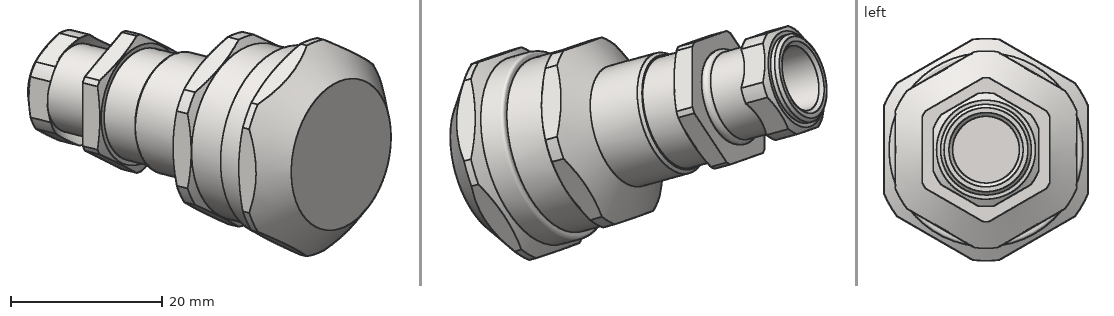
import cadquery as cq
import math

LENGTH = 49.55

SPIGOT_DIAMETER = 12.0
SPIGOT_CHAMFER = 0.45
BORE_DIAMETER = 8.8
BORE_CHAMFER = 0.5

LOCKNUT_START = 1.1
LOCKNUT_END = 5.15
LOCKNUT_FACE_DIAMETER = 13.1
LOCKNUT_FLATS = 13.9
LOCKNUT_CORNERS = 15.0

SEAL_CENTRE = 11.45
SEAL_SECTION_RADIUS = 0.8
SEAL_DIAMETER = 13.0

BODY_HEX_START = 11.95
BODY_HEX_END = 14.95
BODY_HEX_FLATS = 16.85
BODY_HEX_CORNERS = 18.95
BODY_HEX_CHAMFER = 0.45
BODY_HEX_FACE_DIAMETER = 16.45
NECK_DIAMETER = 15.2

SLEEVE_START = 20.45
SLEEVE_DIAMETER = 16.5
SLEEVE_CHAMFER = 0.45

MIDDLE_HEX_START = 28.45
MIDDLE_HEX_END = 33.75
MIDDLE_HEX_FLATS = 23.9
MIDDLE_HEX_CORNERS = 26.05

BARREL_DIAMETER = 23.8
COLLAR_START = 39.3
COLLAR_DIAMETER = 25.6
COLLAR_ROUND = 0.4

CAP_START = 42.85
CAP_FLATS = 27.0
CAP_CORNERS = 29.35
CAP_END_DIAMETER = 20.4

STEEP_SLOPE = math.tan(math.radians(60))


def cylinder(start, end, diameter):
    return cq.Workplane("YZ", origin=(start, 0, 0)).circle(diameter / 2).extrude(end - start)


def revolve_profile(points):
    """Revolve (x, radius) points around the X axis."""
    return cq.Workplane("XY").polyline(points).close().revolve(360, (0, 0, 0), (1, 0, 0))


def steep_run(inner_diameter, outer_diameter):
    """Length along X of a steep cone between two diameters."""
    return (outer_diameter - inner_diameter) / 2 / STEEP_SLOPE


def hex_nut(across_flats, envelope):
    """Cut a turned envelope, given as (x, radius) points, to a hexagon."""
    start = envelope[0][0]
    end = max(x for x, _ in envelope)
    hexagon = (
        cq.Workplane("YZ", origin=(start, 0, 0))
        .polygon(6, across_flats, circumscribed=True)
        .extrude(end - start)
    )
    return hexagon.intersect(revolve_profile(envelope))


def locknut():
    corner_radius = LOCKNUT_CORNERS / 2
    spigot_radius = SPIGOT_DIAMETER / 2
    hollow_depth = corner_radius - spigot_radius
    return hex_nut(LOCKNUT_FLATS, [
        (LOCKNUT_START, 0),
        (LOCKNUT_START, LOCKNUT_FACE_DIAMETER / 2),
        (LOCKNUT_START + steep_run(LOCKNUT_FACE_DIAMETER, LOCKNUT_CORNERS), corner_radius),
        (LOCKNUT_END, corner_radius),
        (LOCKNUT_END - hollow_depth, spigot_radius),
        (LOCKNUT_END - hollow_depth, 0),
    ])


def body_hex():
    corner_radius = BODY_HEX_CORNERS / 2
    return hex_nut(BODY_HEX_FLATS, [
        (BODY_HEX_START, 0),
        (BODY_HEX_START, corner_radius),
        (BODY_HEX_END - BODY_HEX_CHAMFER, corner_radius),
        (BODY_HEX_END, BODY_HEX_FACE_DIAMETER / 2),
        (BODY_HEX_END, 0),
    ])


def middle_hex():
    corner_radius = MIDDLE_HEX_CORNERS / 2
    return hex_nut(MIDDLE_HEX_FLATS, [
        (MIDDLE_HEX_START, 0),
        (MIDDLE_HEX_START, SLEEVE_DIAMETER / 2),
        (MIDDLE_HEX_START + steep_run(SLEEVE_DIAMETER, MIDDLE_HEX_CORNERS), corner_radius),
        (MIDDLE_HEX_END - steep_run(BARREL_DIAMETER, MIDDLE_HEX_CORNERS), corner_radius),
        (MIDDLE_HEX_END, BARREL_DIAMETER / 2),
        (MIDDLE_HEX_END, 0),
    ])


def cap_nut():
    corner_radius = CAP_CORNERS / 2
    end_radius = CAP_END_DIAMETER / 2
    return hex_nut(CAP_FLATS, [
        (CAP_START, 0),
        (CAP_START, COLLAR_DIAMETER / 2),
        (CAP_START + steep_run(COLLAR_DIAMETER, CAP_CORNERS), corner_radius),
        (LENGTH - (corner_radius - end_radius), corner_radius),
        (LENGTH, end_radius),
        (LENGTH, 0),
    ])


def seal():
    centre_radius = SEAL_DIAMETER / 2 - SEAL_SECTION_RADIUS
    return (
        cq.Workplane("XY")
        .center(SEAL_CENTRE, centre_radius)
        .circle(SEAL_SECTION_RADIUS)
        .revolve(360, (0, -centre_radius, 0), (1, -centre_radius, 0))
    )


def bore():
    radius = BORE_DIAMETER / 2
    return revolve_profile([
        (0, 0),
        (0, radius + BORE_CHAMFER),
        (BORE_CHAMFER, radius),
        (MIDDLE_HEX_START, radius),
        (MIDDLE_HEX_START, 0),
    ])


spigot = cylinder(0, BODY_HEX_START, SPIGOT_DIAMETER).faces("<X").chamfer(SPIGOT_CHAMFER)
neck = cylinder(BODY_HEX_END, SLEEVE_START, NECK_DIAMETER)
sleeve = cylinder(SLEEVE_START, MIDDLE_HEX_START, SLEEVE_DIAMETER).faces("<X").chamfer(SLEEVE_CHAMFER)
barrel = cylinder(MIDDLE_HEX_END, COLLAR_START, BARREL_DIAMETER)
collar = cylinder(COLLAR_START, CAP_START, COLLAR_DIAMETER).faces("<X").edges().fillet(COLLAR_ROUND)

result = spigot
for section in (locknut(), seal(), body_hex(), neck, sleeve, middle_hex(), barrel, collar, cap_nut()):
    result = result.union(section)
result = result.cut(bore())